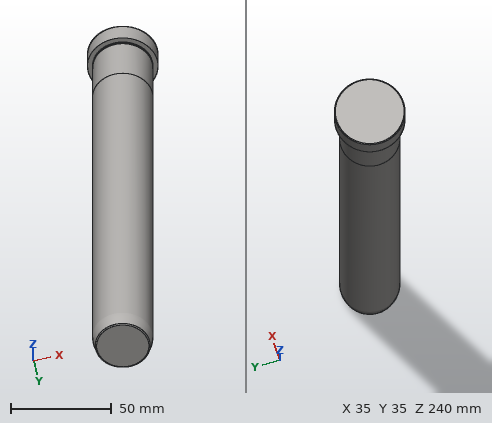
import cadquery as cq

total_length = 240.0
head_diameter = 35.0
head_height = 10.0
shaft_diameter = 30.0

head_chamfer = 0.5
neck_groove_drop = 0.5
neck_groove_width = 0.7
neck_groove_depth = 0.12
collar_length = 25.7
nose_height = 7.2
nose_end_diameter = 27.0
nose_edge_chamfer = 0.5
nose_bulge = 0.2

shaft_radius = shaft_diameter / 2
nose_end_radius = nose_end_diameter / 2
head_underside = total_length - head_height
joint_height = head_underside - collar_length


def make_head_collar():
    """Chamfered head with a cylindrical shoulder and a relief groove under the head."""
    head = (
        cq.Workplane("XY", origin=(0, 0, head_underside))
        .circle(head_diameter / 2)
        .extrude(head_height)
        .faces(">Z")
        .chamfer(head_chamfer)
    )
    shoulder = (
        cq.Workplane("XY", origin=(0, 0, joint_height))
        .circle(shaft_radius)
        .extrude(collar_length)
    )
    groove = (
        cq.Workplane("XY", origin=(0, 0, head_underside - neck_groove_drop))
        .circle(shaft_radius)
        .circle(shaft_radius - neck_groove_depth)
        .extrude(-neck_groove_width)
    )
    return head.union(shoulder).cut(groove)


def make_shaft():
    """Long shaft below the joint, ending in a slightly rounded, tapering nose."""
    nose_middle_radius = (shaft_radius + nose_end_radius) / 2 + nose_bulge
    return (
        cq.Workplane("XZ")
        .lineTo(nose_end_radius, 0)
        .threePointArc((nose_middle_radius, nose_height / 2), (shaft_radius, nose_height))
        .lineTo(shaft_radius, joint_height)
        .lineTo(0, joint_height)
        .close()
        .revolve(360, (0, 0), (0, 1))
        .faces("<Z")
        .chamfer(nose_edge_chamfer)
    )


head_collar = make_head_collar()
shaft = make_shaft()

result = cq.Compound.makeCompound([head_collar.val(), shaft.val()])